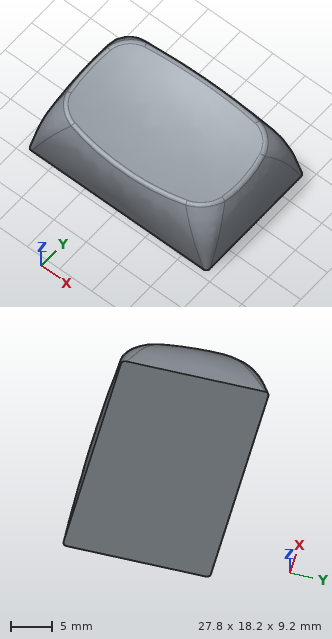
import cadquery as cq

base_length = 27.75
base_width = 18.23
base_corner = 0.5
top_end_inset = 3.5
top_side_inset = 3.72
top_bulge_end = 0.83
top_bulge_side = 1.03
top_corner = 4.72
top_height = 10.5
top_tilt = 7.5
section_count = 4
inset_power = 3.4

rim_setback = 0.7
dish_height = top_height - rim_setback
dish_end_drop = 1.3
dish_middle_drop = 2.89
dish_end_inset = 2.0
dish_middle_overhang = 2.0
dish_middle_edge_drop = 0.67
rim_radius = 0.6


def base_outline():
    return cq.Sketch().rect(base_length, base_width).vertices().fillet(base_corner)


def bowed_outline(rise):
    """Section at a fraction of the height: four bowed sides with blended corners."""
    taper = rise**inset_power
    end_x = base_length / 2 - top_end_inset * taper
    side_y = base_width / 2 - top_side_inset * taper
    corner_x = end_x - top_bulge_end * rise
    corner_y = side_y - top_bulge_side * rise
    corner = base_corner + (top_corner - base_corner) * rise
    outline = (
        cq.Sketch()
        .arc((-corner_x, -corner_y), (-end_x, 0), (-corner_x, corner_y))
        .arc((-corner_x, corner_y), (0, side_y), (corner_x, corner_y))
        .arc((corner_x, corner_y), (end_x, 0), (corner_x, -corner_y))
        .arc((corner_x, -corner_y), (0, -side_y), (-corner_x, -corner_y))
        .assemble()
        .vertices()
        .fillet(corner)
    )
    height = cq.Vector(0, 0, top_height * rise)
    return outline.moved(cq.Location(height, cq.Vector(1, 0, 0), top_tilt * rise))


def dish_profile(plane, half_span, edge_drop, middle_drop):
    """Closed cross-section with the curved dish floor at its bottom."""
    half_width = base_width / 2
    return (
        plane.moveTo(-half_span, -edge_drop)
        .threePointArc((0, -middle_drop), (half_span, -edge_drop))
        .lineTo(half_width, top_height)
        .lineTo(-half_width, top_height)
        .close()
    )


def dish_cutter():
    half_length = base_length / 2
    end_span = base_width / 2 - dish_end_inset
    middle_span = base_width / 2 + dish_middle_overhang
    plane = cq.Workplane("YZ").transformed(
        offset=(0, dish_height, -half_length), rotate=(0, 0, top_tilt)
    )
    plane = dish_profile(plane, end_span, 0, dish_end_drop)
    plane = plane.workplane(offset=half_length)
    plane = dish_profile(plane, middle_span, dish_middle_edge_drop, dish_middle_drop)
    plane = plane.workplane(offset=half_length)
    return dish_profile(plane, end_span, 0, dish_end_drop).loft(combine=False)


rising_sections = [bowed_outline(step / section_count) for step in range(1, section_count + 1)]
body = cq.Workplane("XY").placeSketch(base_outline(), *rising_sections).loft()

dished = body.cut(dish_cutter())
result = dished.faces(">Z").edges().fillet(rim_radius)